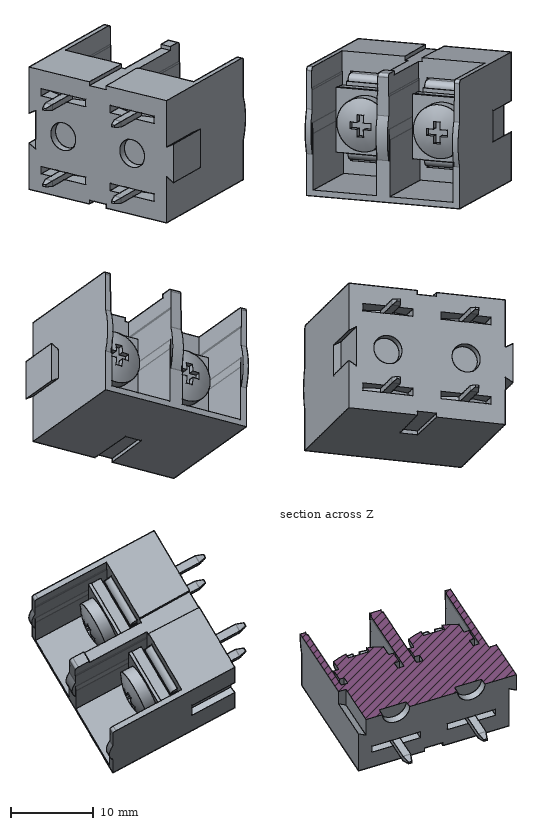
import cadquery as cq
import math


housing_width = 20.0
pole_count = 2
pitch = housing_width / pole_count
housing_height = 16.0
housing_depth = 17.0
block_depth = 7.02
mid_z = housing_height / 2
corner_radius = 0.43
bulge_height = 0.48
bulge_half_width = 2.78

chamber_half_upper = 4.31
chamber_half_lower = 4.25
chamber_half_pad = 4.12
step_z = 13.22
step_height = 0.22
pad_top_z = 9.1
pad_slope_height = 1.3
floor_thickness = 0.75

groove_depth = 0.5
groove_front_width = 2.45
groove_back_width = 2.25
partition_stub_start = 15.0

dovetail_reach = 1.0
dovetail_length = 5.98
dovetail_root_half = 1.93
dovetail_tip_half = 2.51

hole_diameter = 3.6
hole_bottom_diameter = 3.5
hole_depth = 0.95

strip_width = 6.42
strip_thickness = 0.74
strip_outer_half = 5.35
strip_top = 7.91
strip_bend_radius = 0.87
shoulder_wide_y = 1.95
shoulder_narrow_y = 1.3
slot_clearance = 0.22
contact_width = 6.7
contact_top = 8.0
pin_width = 1.02
pin_length = 4.2
pin_tip_length = 1.02
pin_tip_width = 0.45
pin_tip_thickness = 0.25

clamp_half_width = 3.99
clamp_rim_half_width = 4.03
clamp_rim_start = 9.3
clamp_top = 9.71
head_diameter = 6.7
head_edge_y = 11.23
head_top_y = 12.03
recess_width = 0.85
recess_length = 2.73
recess_depth = 0.87


def box(x_range, y_range, z_range):
    """Axis-aligned box between the given limits."""
    (x0, x1), (y0, y1), (z0, z1) = x_range, y_range, z_range
    return cq.Workplane("XY").box(x1 - x0, y1 - y0, z1 - z0, centered=False).translate((x0, y0, z0))


def extrude_along_y(outline, start, end):
    """Closed XZ outline extruded from one Y to another."""
    return cq.Workplane("XZ", origin=(0, start, 0)).polyline(outline).close().extrude(start - end)


def wall_profile():
    """Side outline of the housing, with the bulged walls."""
    return (
        cq.Workplane("YZ")
        .moveTo(0, 0)
        .lineTo(housing_depth, 0)
        .lineTo(housing_depth, mid_z - bulge_half_width)
        .threePointArc((housing_depth + bulge_height, mid_z), (housing_depth, mid_z + bulge_half_width))
        .lineTo(housing_depth, housing_height - corner_radius)
        .radiusArc((housing_depth - corner_radius, housing_height), -corner_radius)
        .lineTo(0, housing_height)
        .close()
        .extrude(housing_width)
    )


def chamber_cut(center_x, right_side, end):
    """Cut mirrored about the pole centre, from the solid block back to the given Y."""
    left_side = [(-x, z) for x, z in reversed(right_side)]
    outline = [(center_x + x, z) for x, z in right_side + left_side]
    return extrude_along_y(outline, block_depth, end)


def chamber(center_x):
    """Space for one terminal, open at the top and back, with sloped steps and pads on its sides."""
    wall_end = housing_depth + bulge_height
    upper_side = [
        (chamber_half_lower, pad_top_z),
        (chamber_half_lower, step_z),
        (chamber_half_upper, step_z + step_height),
        (chamber_half_upper, housing_height),
    ]
    pad_side = [
        (chamber_half_pad, floor_thickness),
        (chamber_half_pad, pad_top_z - pad_slope_height),
        (chamber_half_lower, pad_top_z),
    ]
    behind_pads = box(
        (center_x - chamber_half_lower, center_x + chamber_half_lower),
        (housing_depth, wall_end),
        (0, pad_top_z),
    )
    upper = chamber_cut(center_x, upper_side, wall_end)
    lower = chamber_cut(center_x, pad_side, housing_depth)
    return upper.union(lower).union(behind_pads)


def groove(center_x, z_start):
    """Tapered relief groove in the solid block."""
    front_half = groove_front_width / 2
    back_half = groove_back_width / 2
    return (
        cq.Workplane("XY", origin=(center_x, 0, z_start))
        .polyline([
            (-front_half, 0),
            (front_half, 0),
            (back_half, block_depth),
            (-back_half, block_depth),
        ])
        .close()
        .extrude(groove_depth)
    )


def dovetail(root_x):
    """Interlocking rail that widens towards +X."""
    tip_x = root_x + dovetail_reach
    outline = [
        (root_x, mid_z - dovetail_root_half),
        (tip_x, mid_z - dovetail_tip_half),
        (tip_x, mid_z + dovetail_tip_half),
        (root_x, mid_z + dovetail_root_half),
    ]
    return extrude_along_y(outline, 0, dovetail_length)


def screw_hole(center_x):
    """Slightly tapered blind hole in the front face."""
    return (
        cq.Workplane("XZ", origin=(center_x, 0, mid_z))
        .circle(hole_diameter / 2)
        .workplane(offset=-hole_depth)
        .circle(hole_bottom_diameter / 2)
        .loft()
    )


def terminal_slots(center_x):
    """Upper and lower slots that let the terminal legs through the block."""
    x_range = (center_x - strip_width / 2, center_x + strip_width / 2)
    inner = strip_outer_half - strip_thickness
    outer = strip_outer_half + slot_clearance
    upper = box(x_range, (0, block_depth), (mid_z + inner, mid_z + outer))
    lower = box(x_range, (0, block_depth), (mid_z - outer, mid_z - inner))
    return upper.union(lower)


def pin_tip(center_x, center_z):
    """Tapered end of a solder pin."""
    return (
        cq.Workplane("XZ", origin=(center_x, pin_tip_length - pin_length, center_z))
        .rect(pin_width, strip_thickness)
        .workplane(offset=pin_tip_length)
        .rect(pin_tip_width, pin_tip_thickness)
        .loft()
    )


def terminal(center_x):
    """U-shaped strip with a shouldered solder pin on each leg."""
    inner = strip_outer_half - strip_thickness
    pin_half = pin_width / 2
    strip_half = strip_width / 2
    pin_end = pin_tip_length - pin_length

    bridge = box(
        (center_x - strip_half, center_x + strip_half),
        (shoulder_wide_y, strip_top),
        (mid_z - strip_outer_half, mid_z + strip_outer_half),
    )
    bridge = bridge.edges("|X and >Y").fillet(strip_bend_radius)
    body = bridge.cut(box(
        (center_x - strip_half, center_x + strip_half),
        (shoulder_wide_y, block_depth),
        (mid_z - inner, mid_z + inner),
    ))

    leg_outline = [
        (center_x - pin_half, pin_end),
        (center_x + pin_half, pin_end),
        (center_x + pin_half, shoulder_narrow_y),
        (center_x + strip_half, shoulder_wide_y),
        (center_x - strip_half, shoulder_wide_y),
        (center_x - pin_half, shoulder_narrow_y),
    ]
    for leg_start in (mid_z + inner, mid_z - strip_outer_half):
        leg = (
            cq.Workplane("XY", origin=(0, 0, leg_start))
            .polyline(leg_outline)
            .close()
            .extrude(strip_thickness)
        )
        body = body.union(leg).union(pin_tip(center_x, leg_start + strip_thickness / 2))
    return body


def contact_plate(center_x):
    """Raised flat on the strip, between its two bends, that the clamp plate rests on."""
    half_height = strip_outer_half - strip_bend_radius
    return box(
        (center_x - contact_width / 2, center_x + contact_width / 2),
        (block_depth, contact_top),
        (mid_z - half_height, mid_z + half_height),
    )


def square_plate(center_x, half_width, start, end):
    """Square plate centred on a screw axis."""
    return box(
        (center_x - half_width, center_x + half_width),
        (start, end),
        (mid_z - half_width, mid_z + half_width),
    )


def screw(center_x):
    """Domed screw head with a cross recess."""
    radius = head_diameter / 2
    dome_height = head_top_y - head_edge_y
    dome_radius = (radius**2 + dome_height**2) / (2 * dome_height)
    arc_mid_x = radius / 2
    arc_mid_y = head_top_y - dome_radius + math.sqrt(dome_radius**2 - arc_mid_x**2)
    head = (
        cq.Workplane("XY")
        .moveTo(0, clamp_top)
        .lineTo(radius, clamp_top)
        .lineTo(radius, head_edge_y)
        .threePointArc((arc_mid_x, arc_mid_y), (0, head_top_y))
        .close()
        .revolve(360, (0, 0), (0, 1))
    )
    for width, height in ((recess_width, recess_length), (recess_length, recess_width)):
        head = head.cut(box(
            (-width / 2, width / 2),
            (head_top_y - recess_depth, head_top_y),
            (-height / 2, height / 2),
        ))
    return head.translate((center_x, 0, mid_z))


pole_centers = [(i + 0.5) * pitch for i in range(pole_count)]
partition_x = housing_width / 2

housing = wall_profile().union(dovetail(housing_width)).cut(dovetail(0))
for center_x in pole_centers:
    housing = housing.cut(chamber(center_x)).cut(screw_hole(center_x)).cut(terminal_slots(center_x))

groove_floor_z = housing_height - groove_depth
partition_half = pitch / 2 - chamber_half_upper
housing = housing.cut(groove(partition_x, groove_floor_z)).cut(groove(partition_x, 0))
housing = housing.cut(box(
    (partition_x - partition_half, partition_x + partition_half),
    (block_depth, partition_stub_start),
    (groove_floor_z, housing_height),
))

result = housing
for center_x in pole_centers:
    result = result.union(terminal(center_x)).union(contact_plate(center_x))
    result = result.union(square_plate(center_x, clamp_half_width, contact_top, clamp_rim_start))
    result = result.union(square_plate(center_x, clamp_rim_half_width, clamp_rim_start, clamp_top))
    result = result.union(screw(center_x))